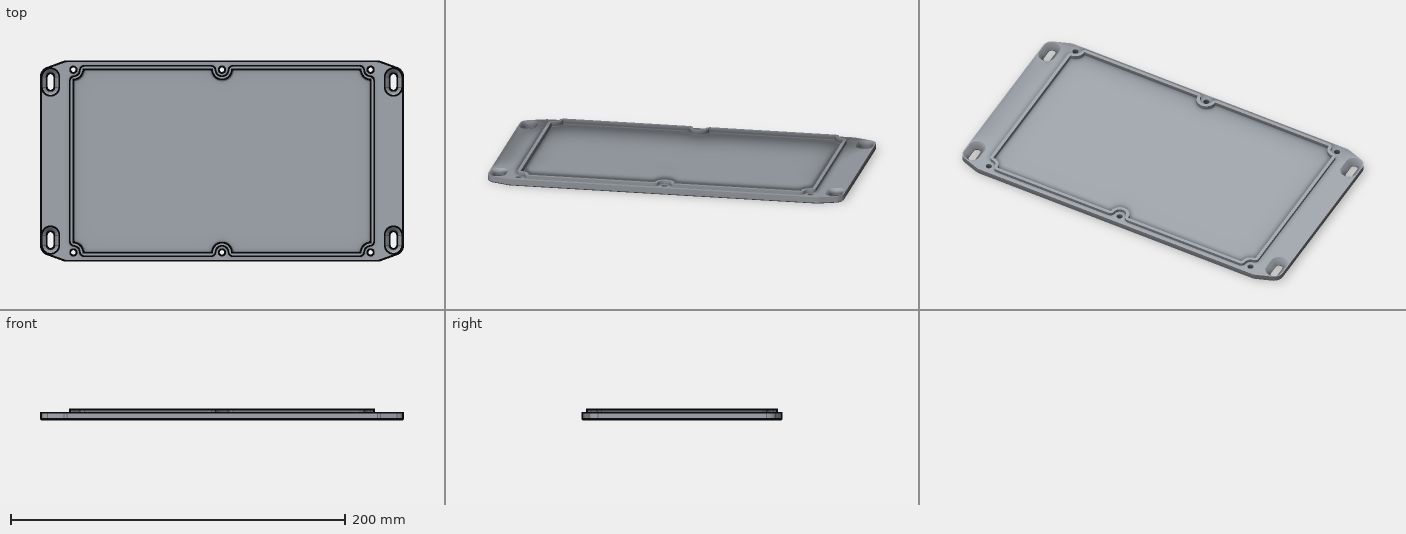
import cadquery as cq
import math

plate_length = 217.0
plate_width = 119.5
plate_thickness = 4.1
bottom_chamfer = 0.7
corner_slant = 20.0
slant_blend_radius = 5.5

corner_radius = 5.9
slot_x = plate_length / 2 - corner_radius
slot_y = 47.3
slot_radius = 2.2
slot_half_straight = 3.0
countersink_radius = 5.2
countersink_angle = 40.0

rim_length = 182.0
rim_width = 114.0
rim_height = 2.0
rim_wall = 2.0
rim_fillet = 2.5
floor_depth = 0.9
floor_fillet = 0.7

hole_radius = 1.85
hole_x = 89.0
hole_y = 54.7
hole_clearance_radius = 4.0

SIGNS = (-1, 1)
slot_centers = [(sx * slot_x, sy * slot_y) for sx in SIGNS for sy in SIGNS]
hole_centers = [(x, sy * hole_y) for x in (-hole_x, 0, hole_x) for sy in SIGNS]


def make_plate():
    """Plate with slanted corners, each rounded around the end of its slot."""
    slant = math.radians(corner_slant)
    half_length = plate_length / 2
    half_width = plate_width / 2
    arc_y = slot_y + slot_half_straight

    def on_corner_arc(angle):
        return (slot_x + corner_radius * math.cos(angle), arc_y + corner_radius * math.sin(angle))

    arc_end_angle = math.pi / 2 - slant
    arc_middle = on_corner_arc(arc_end_angle / 2)
    arc_end = on_corner_arc(arc_end_angle)
    slant_end_x = arc_end[0] - (half_width - arc_end[1]) / math.tan(slant)
    blend_length = slant_blend_radius * math.tan(slant / 2)
    blend_start = (
        slant_end_x + blend_length * math.cos(slant),
        half_width - blend_length * math.sin(slant),
    )
    blend_end = (slant_end_x - blend_length, half_width)

    quarter = (
        cq.Workplane("XY")
        .moveTo(0, 0)
        .lineTo(half_length, 0)
        .lineTo(half_length, arc_y)
        .threePointArc(arc_middle, arc_end)
        .lineTo(*blend_start)
        .tangentArcPoint(blend_end, relative=False)
        .lineTo(0, half_width)
        .close()
        .extrude(plate_thickness)
    )
    half = quarter.union(quarter.mirror("YZ"))
    plate = half.union(half.mirror("XZ")).clean()
    return plate.faces("<Z").chamfer(bottom_chamfer)


def rim_block(inset, bottom_z, height):
    """Block filling the rim outline moved inward by inset, notched around every hole."""
    block = (
        cq.Workplane("XY", origin=(0, 0, bottom_z))
        .rect(rim_length - 2 * inset, rim_width - 2 * inset)
        .extrude(height)
    )
    notches = (
        cq.Workplane("XY", origin=(0, 0, bottom_z))
        .pushPoints(hole_centers)
        .circle(hole_clearance_radius + inset)
        .extrude(height)
    )
    return block.cut(notches)


def make_rim():
    return rim_block(0, plate_thickness, rim_height).edges("|Z").fillet(rim_fillet)


def make_recess():
    """Space inside the rim, with a rounded foot along the floor."""
    height = rim_height + floor_depth
    recess = rim_block(rim_wall, plate_thickness - floor_depth, height)
    return recess.faces("<Z").edges().fillet(floor_fillet)


def make_slots():
    """Slots through the plate, each countersunk from the top."""
    countersink_depth = (countersink_radius - slot_radius) / math.tan(math.radians(countersink_angle))
    straight = 2 * slot_half_straight
    through = (
        cq.Workplane("XY")
        .pushPoints(slot_centers)
        .slot2D(straight + 2 * slot_radius, 2 * slot_radius, 90)
        .extrude(plate_thickness)
    )
    countersink = (
        cq.Workplane("XY", origin=(0, 0, plate_thickness))
        .pushPoints(slot_centers)
        .slot2D(straight + 2 * countersink_radius, 2 * countersink_radius, 90)
        .extrude(-countersink_depth, taper=countersink_angle)
    )
    return through.union(countersink)


def make_holes():
    return cq.Workplane("XY").pushPoints(hole_centers).circle(hole_radius).extrude(plate_thickness)


result = make_plate().union(make_rim())
result = result.cut(make_recess()).cut(make_slots()).cut(make_holes())